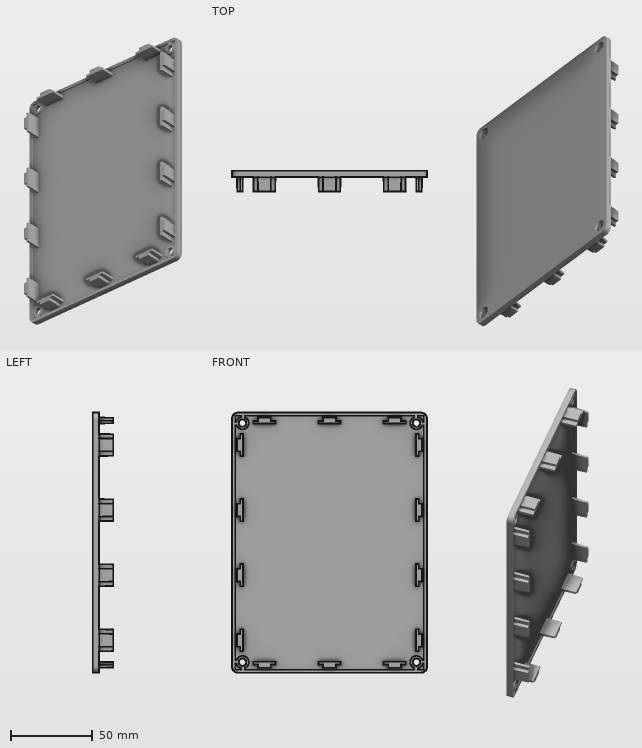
import cadquery as cq
width = 120.0
height = 160.0
total_depth = 12.8
plate_thickness = 4.0
corner_radius = 4.0

rim_width = corner_radius / 2
recess_depth = 1.0

hole_inset = 6.5
hole_radius = 2.2
boss_radius = 3.8
web_width = 2.0
web_shift = 0.3
counterbore_radius = 3.8
counterbore_depth = 2.0

clips_per_side = 4
clips_per_end = 3
clip_pitch = 40.0
clip_inset = 3.0
clip_thickness = 3.8
flange_width = 13.8
flange_thickness = 1.8
block_width = 8.0
clip_draft_angle = 1.0

inside_face = total_depth - plate_thickness
floor_level = inside_face + recess_depth


def prism(outline, start, end):
    """Extrude an XZ outline from Y = start to Y = end."""
    return outline.extrude(start - end).translate((0, start, 0))


def corner_discs(radius):
    """Circles of the given radius at the four screw positions."""
    span_x = width - 2 * hole_inset
    span_z = height - 2 * hole_inset
    return cq.Workplane("XZ").rect(span_x, span_z, forConstruction=True).vertices().circle(radius)


def recess():
    outline = cq.Workplane("XZ").rect(width - 2 * rim_width, height - 2 * rim_width)
    return prism(outline, inside_face, floor_level)


def corner_webs(side_x, side_z):
    """Two webs running from one corner boss out to the rim, flush with the rim."""
    across = hole_inset + web_shift
    along = (rim_width + hole_inset) / 2
    length = hole_inset - rim_width
    to_end = (
        cq.Workplane("XZ")
        .center(side_x * (width / 2 - across), side_z * (height / 2 - along))
        .rect(web_width, length)
    )
    to_side = (
        cq.Workplane("XZ")
        .center(side_x * (width / 2 - along), side_z * (height / 2 - across))
        .rect(length, web_width)
    )
    return prism(to_end, inside_face, floor_level).union(prism(to_side, inside_face, floor_level))


def plate():
    outline = cq.Workplane("XZ").rect(width, height)
    body = prism(outline, inside_face, total_depth).edges("|Y").fillet(corner_radius)
    body = body.cut(recess())
    body = body.union(prism(corner_discs(boss_radius), inside_face, floor_level))
    for side_x in (-1, 1):
        for side_z in (-1, 1):
            body = body.union(corner_webs(side_x, side_z))
    holes = prism(corner_discs(hole_radius), inside_face, total_depth)
    counterbores = prism(corner_discs(counterbore_radius), total_depth - counterbore_depth, total_depth)
    return body.cut(holes).cut(counterbores)


def clip(offset, edge_distance):
    """Drafted clip beside the edge at Z = edge_distance, centred on X = offset."""
    outer = edge_distance - clip_inset
    inner = outer - clip_thickness
    shoulder = inner + flange_thickness
    half_flange = flange_width / 2
    half_block = block_width / 2
    outline = (
        cq.Workplane("XZ")
        .polyline(
            [
                (offset - half_flange, inner),
                (offset + half_flange, inner),
                (offset + half_flange, shoulder),
                (offset + half_block, shoulder),
                (offset + half_block, outer),
                (offset - half_block, outer),
                (offset - half_block, shoulder),
                (offset - half_flange, shoulder),
            ]
        )
        .close()
    )
    return outline.extrude(floor_level, taper=clip_draft_angle).translate((0, floor_level, 0))


edge_rows = (
    (0, height / 2, clips_per_end),
    (90, width / 2, clips_per_side),
    (180, height / 2, clips_per_end),
    (270, width / 2, clips_per_side),
)

result = plate()
for angle, edge_distance, count in edge_rows:
    for index in range(count):
        offset = (index - (count - 1) / 2) * clip_pitch
        result = result.union(clip(offset, edge_distance).rotate((0, 0, 0), (0, 1, 0), angle))